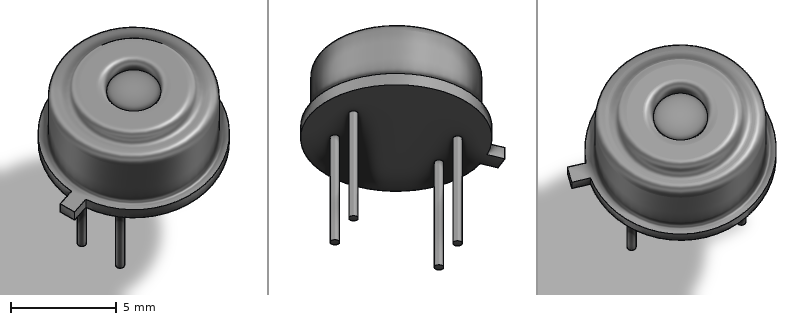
import cadquery as cq
import math

flange_diameter = 9.11
flange_thickness = 0.65
tab_width = 0.84
tab_reach = 5.455

can_diameter = 8.15
shoulder_height = 3.3
crown_height = 0.5
can_foot_fillet = 0.25
shoulder_fillet = 0.5
crown_radius = 2.55
crown_blend_radius = 0.5

window_radius = 1.29
window_lip_radius = 0.5

lead_diameter = 0.45
lead_length = 6.0
lead_circle_diameter = 5.84
lead_half_angle = 22.5

can_radius = can_diameter / 2
flange_radius = flange_diameter / 2
shoulder_z = flange_thickness + shoulder_height
crown_z = shoulder_z + crown_height
window_z = crown_z - window_lip_radius


def arc_point(center, radius, degrees):
    """Point (r, z) on a circle, at an angle measured from the outward radial direction."""
    angle = math.radians(degrees)
    return (center[0] + radius * math.cos(angle), center[1] + radius * math.sin(angle))


def make_can():
    """Flange, cap and window recess as one revolved half section."""
    blend_angle = math.degrees(math.acos(1 - crown_height / 2 / crown_blend_radius))
    blend_run = crown_blend_radius * math.sin(math.radians(blend_angle))

    foot_center = (can_radius + can_foot_fillet, flange_thickness + can_foot_fillet)
    shoulder_center = (can_radius - shoulder_fillet, shoulder_z - shoulder_fillet)
    hollow_center = (crown_radius + 2 * blend_run, shoulder_z + crown_blend_radius)
    crown_center = (crown_radius, crown_z - crown_blend_radius)
    lip_center = (window_radius + window_lip_radius, window_z)

    section = (
        cq.Workplane("XZ")
        .lineTo(flange_radius, 0)
        .lineTo(flange_radius, flange_thickness)
        .lineTo(foot_center[0], flange_thickness)
        .threePointArc(
            arc_point(foot_center, can_foot_fillet, 225),
            arc_point(foot_center, can_foot_fillet, 180),
        )
        .lineTo(can_radius, shoulder_center[1])
        .threePointArc(
            arc_point(shoulder_center, shoulder_fillet, 45),
            arc_point(shoulder_center, shoulder_fillet, 90),
        )
        .lineTo(hollow_center[0], shoulder_z)
        .threePointArc(
            arc_point(hollow_center, crown_blend_radius, 270 - blend_angle / 2),
            arc_point(hollow_center, crown_blend_radius, 270 - blend_angle),
        )
        .threePointArc(
            arc_point(crown_center, crown_blend_radius, 90 - blend_angle / 2),
            arc_point(crown_center, crown_blend_radius, 90),
        )
        .lineTo(lip_center[0], crown_z)
        .threePointArc(
            arc_point(lip_center, window_lip_radius, 135),
            arc_point(lip_center, window_lip_radius, 180),
        )
        .lineTo(0, window_z)
        .close()
    )
    return section.revolve(360, (0, 0, 0), (0, 1, 0))


def make_tab():
    """Index tab on the -Y side, as thick as the flange and rooted at its axis."""
    return cq.Workplane("XY").box(
        tab_width, tab_reach, flange_thickness, centered=(True, False, False)
    ).translate((0, -tab_reach, 0))


def make_leads():
    """Two pairs of leads under the flange, one pair on each side of the X axis."""
    lead_radius = lead_circle_diameter / 2
    x = lead_radius * math.sin(math.radians(lead_half_angle))
    y = lead_radius * math.cos(math.radians(lead_half_angle))
    return (
        cq.Workplane("XY")
        .rect(2 * x, 2 * y, forConstruction=True)
        .vertices()
        .circle(lead_diameter / 2)
        .extrude(-lead_length)
    )


result = make_can().union(make_tab()).union(make_leads())